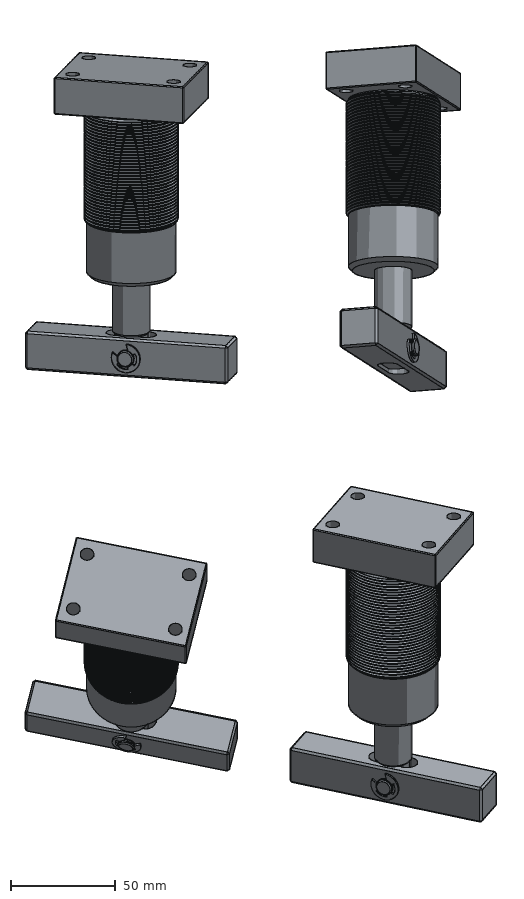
import cadquery as cq
import math

TOTAL_HEIGHT = 150.0

PLATE_LENGTH = 64.0
PLATE_WIDTH = 46.0
PLATE_THICKNESS = 18.3
PLATE_CHAMFER = 0.5
PLATE_HOLE_DIAMETER = 6.5
PLATE_HOLE_SPACING_X = 50.0
PLATE_HOLE_SPACING_Y = 30.0
PLATE_BOTTOM_Z = TOTAL_HEIGHT - PLATE_THICKNESS

COLLAR_RADIUS = 21.5
COLLAR_BOTTOM_Z = 48.0
COLLAR_CHAMFER = 2.0
THREAD_RADIUS = 22.5
THREAD_ROOT_RADIUS = 21.6
THREAD_PITCH = 1.5
THREAD_BOTTOM_Z = 75.0
THREAD_ROOT_FLAT = 0.2
THREAD_CREST_FLAT = 0.5
THREAD_START_ANGLE = 90.0
NECK_HEIGHT = 0.6
NECK_BOTTOM_Z = PLATE_BOTTOM_Z - NECK_HEIGHT

TURNS_PER_BLOCK = 6
BLOCK_HEIGHT = TURNS_PER_BLOCK * THREAD_PITCH
BLOCK_COUNT = math.ceil((PLATE_BOTTOM_Z - THREAD_BOTTOM_Z) / BLOCK_HEIGHT)
THREAD_STACK_TOP_Z = THREAD_BOTTOM_Z + BLOCK_COUNT * BLOCK_HEIGHT
CUT_CLEARANCE = 0.2

BAR_LENGTH = 100.0
BAR_SIDE = 19.0
BAR_CHAMFER = 1.0
SLOT_LENGTH = 24.5
SLOT_WIDTH = 10.0

ROD_RADIUS = 9.0
ROD_BAR_GAP = 0.5
ROD_BOTTOM_Z = BAR_SIDE + ROD_BAR_GAP
TONGUE_RADIUS = 8.0
TONGUE_THICKNESS = 9.0
ROD_CHAMFER = ROD_RADIUS - TONGUE_RADIUS

PIN_Z = BAR_SIDE / 2
PIN_LENGTH = 24.0
PIN_RADIUS = 4.0
PIN_CHAMFER = 0.6
PIN_GROOVE_RADIUS = 3.5
TONGUE_BOTTOM_Z = PIN_Z - TONGUE_RADIUS

CLIP_RADIUS = 7.0
CLIP_THICKNESS = 1.0
CLIP_POCKET_RADIUS = 5.4
CLIP_BACK_DIRECTION = -57.0
CLIP_OUTER_TIP_ANGLE = 145.0
CLIP_INNER_TIP_ANGLE = 126.0
CLIP_POCKET_START_ANGLE = 20.0
CLIP_POCKET_END_ANGLE = 86.0
CLIP_OFFSET_Y = (BAR_SIDE + CLIP_THICKNESS) / 2


def cylinder_along_y(radius, length):
    """Cylinder on the pin's axis, centred on the middle of the bar."""
    return (
        cq.Workplane("XZ", origin=(0, 0, PIN_Z))
        .circle(radius)
        .extrude(length / 2, both=True)
    )


def mounting_plate():
    plate = (
        cq.Workplane("XY", origin=(0, 0, PLATE_BOTTOM_Z))
        .box(PLATE_LENGTH, PLATE_WIDTH, PLATE_THICKNESS, centered=(True, True, False))
        .edges()
        .chamfer(PLATE_CHAMFER)
    )
    holes = (
        cq.Workplane("XY", origin=(0, 0, PLATE_BOTTOM_Z))
        .rect(PLATE_HOLE_SPACING_X, PLATE_HOLE_SPACING_Y, forConstruction=True)
        .vertices()
        .circle(PLATE_HOLE_DIAMETER / 2)
        .extrude(PLATE_THICKNESS)
    )
    return plate.cut(holes)


def revolve_about_z(half_section):
    """Solid of revolution from (radius, height) points."""
    return cq.Workplane("XZ").polyline(half_section).close().revolve(360, (0, 0, 0), (0, 1, 0))


def collar():
    return (
        cq.Workplane("XY", origin=(0, 0, COLLAR_BOTTOM_Z))
        .circle(COLLAR_RADIUS)
        .extrude(THREAD_BOTTOM_Z - COLLAR_BOTTOM_Z)
        .faces("<Z")
        .chamfer(COLLAR_CHAMFER)
    )


def thread_groove():
    """Helical V groove that runs one turn past both ends of a thread block."""
    outer_radius = THREAD_RADIUS + CUT_CLEARANCE
    half_root = THREAD_ROOT_FLAT / 2
    half_mouth = (THREAD_PITCH - THREAD_CREST_FLAT) / 2
    flank_slope = (half_mouth - half_root) / (THREAD_RADIUS - THREAD_ROOT_RADIUS)
    half_outer = half_mouth + flank_slope * CUT_CLEARANCE
    helix = cq.Wire.makeHelix(THREAD_PITCH, BLOCK_HEIGHT + 2 * THREAD_PITCH, THREAD_ROOT_RADIUS)
    return (
        cq.Workplane("XZ")
        .polyline([
            (THREAD_ROOT_RADIUS, -half_root),
            (THREAD_ROOT_RADIUS, half_root),
            (outer_radius, half_outer),
            (outer_radius, -half_outer),
        ])
        .close()
        .sweep(cq.Workplane(obj=helix), isFrenet=True)
        .rotate((0, 0, 0), (0, 0, 1), THREAD_START_ANGLE)
        .translate((0, 0, -THREAD_PITCH))
    )


def thread_stack():
    """Continuous thread made of identical blocks, each a whole number of turns high."""
    block = cq.Workplane("XY").circle(THREAD_RADIUS).extrude(BLOCK_HEIGHT).cut(thread_groove())
    blocks = [
        block.translate((0, 0, THREAD_BOTTOM_Z + index * BLOCK_HEIGHT)).val()
        for index in range(BLOCK_COUNT)
    ]
    return cq.Workplane(obj=blocks[0].fuse(*blocks[1:], glue=True))


def thread_end_trims():
    """Rings that bevel the thread's lower end and turn its upper end down to a neck."""
    outer_radius = THREAD_RADIUS + 2 * CUT_CLEARANCE
    bevel_height = outer_radius - COLLAR_RADIUS
    lower_trim = revolve_about_z([
        (COLLAR_RADIUS, THREAD_BOTTOM_Z - CUT_CLEARANCE),
        (outer_radius, THREAD_BOTTOM_Z - CUT_CLEARANCE),
        (outer_radius, THREAD_BOTTOM_Z + bevel_height),
        (COLLAR_RADIUS, THREAD_BOTTOM_Z),
    ])
    upper_trim = revolve_about_z([
        (COLLAR_RADIUS, NECK_BOTTOM_Z),
        (outer_radius, NECK_BOTTOM_Z - bevel_height),
        (outer_radius, THREAD_STACK_TOP_Z + CUT_CLEARANCE),
        (COLLAR_RADIUS, THREAD_STACK_TOP_Z + CUT_CLEARANCE),
    ])
    return lower_trim, upper_trim


def piston_rod():
    rod = (
        cq.Workplane("XY", origin=(0, 0, ROD_BOTTOM_Z))
        .circle(ROD_RADIUS)
        .extrude(COLLAR_BOTTOM_Z - ROD_BOTTOM_Z)
        .faces("<Z")
        .chamfer(ROD_CHAMFER)
    )
    tongue_height = ROD_BOTTOM_Z - TONGUE_BOTTOM_Z
    tongue_base = cq.Workplane("XY", origin=(0, 0, TONGUE_BOTTOM_Z))
    flats = tongue_base.rect(2 * TONGUE_RADIUS, TONGUE_THICKNESS).extrude(tongue_height)
    tongue = tongue_base.circle(TONGUE_RADIUS).extrude(tongue_height).intersect(flats)
    return rod.union(tongue).cut(cylinder_along_y(PIN_RADIUS, BAR_SIDE))


def make_stop_cylinder():
    barrel = thread_stack()
    for trim in thread_end_trims():
        barrel = barrel.cut(trim)
    for section in (collar(), mounting_plate(), piston_rod()):
        barrel = barrel.union(section, clean=False)
    return barrel


def make_cross_bar():
    bar = (
        cq.Workplane("XY")
        .box(BAR_LENGTH, BAR_SIDE, BAR_SIDE, centered=(True, True, False))
        .edges()
        .chamfer(BAR_CHAMFER)
    )
    slot = cq.Workplane("XY").slot2D(SLOT_LENGTH, SLOT_WIDTH).extrude(BAR_SIDE)
    return bar.cut(slot).cut(cylinder_along_y(PIN_RADIUS, BAR_SIDE))


def make_cross_pin():
    pin = cylinder_along_y(PIN_RADIUS, PIN_LENGTH).faces("<Y or >Y").chamfer(PIN_CHAMFER)
    groove = cylinder_along_y(2 * PIN_RADIUS, CLIP_THICKNESS).cut(
        cylinder_along_y(PIN_GROOVE_RADIUS, CLIP_THICKNESS)
    )
    for side in (-1, 1):
        pin = pin.cut(groove.translate((0, side * CLIP_OFFSET_Y, 0)))
    return pin


def clip_point(radius, angle):
    """Point in the clip's plane, with the angle measured from the middle of its back."""
    direction = math.radians(CLIP_BACK_DIRECTION + angle)
    return (radius * math.cos(direction), radius * math.sin(direction))


def add_clip_arc(outline, radius, start_angle, end_angle):
    """Line to the start of an arc about the pin's axis, then the arc itself."""
    middle_angle = (start_angle + end_angle) / 2
    return outline.lineTo(*clip_point(radius, start_angle)).threePointArc(
        clip_point(radius, middle_angle), clip_point(radius, end_angle)
    )


def make_clip(side):
    """E-shaped clip: three lobes grip the groove, with a relief pocket between lobes."""
    outer_tip = CLIP_OUTER_TIP_ANGLE
    inner_tip = CLIP_INNER_TIP_ANGLE
    pocket_start = CLIP_POCKET_START_ANGLE
    pocket_end = CLIP_POCKET_END_ANGLE

    outline = cq.Workplane("XZ", origin=(0, side * CLIP_OFFSET_Y, PIN_Z))
    outline = outline.moveTo(*clip_point(PIN_GROOVE_RADIUS, -inner_tip))
    outline = add_clip_arc(outline, CLIP_RADIUS, -outer_tip, outer_tip)
    outline = add_clip_arc(outline, PIN_GROOVE_RADIUS, inner_tip, pocket_end)
    outline = add_clip_arc(outline, CLIP_POCKET_RADIUS, pocket_end, pocket_start)
    outline = add_clip_arc(outline, PIN_GROOVE_RADIUS, pocket_start, -pocket_start)
    outline = add_clip_arc(outline, CLIP_POCKET_RADIUS, -pocket_start, -pocket_end)
    outline = add_clip_arc(outline, PIN_GROOVE_RADIUS, -pocket_end, -inner_tip)
    return outline.close().extrude(CLIP_THICKNESS / 2, both=True)


stop_cylinder = make_stop_cylinder()
cross_bar = make_cross_bar()
cross_pin = make_cross_pin()
clips = [make_clip(side) for side in (-1, 1)]

result = cq.Compound.makeCompound([
    stop_cylinder.val(),
    cross_bar.val(),
    cross_pin.val(),
    *[clip.val() for clip in clips],
])